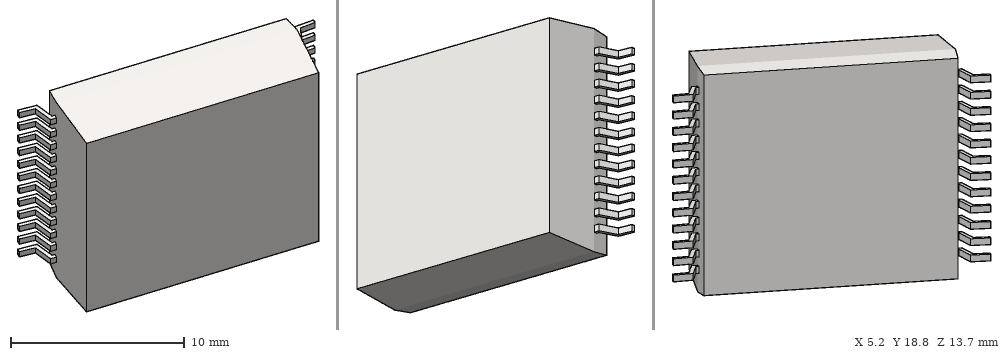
import cadquery as cq

overall_x = 5.2
overall_y = 18.75
parting_width = 15.25
parting_height = 13.7
seat_standoff = 0.3
parting_depth = 1.54
seat_inset_y = 0.11
seat_inset_z = 0.15
back_inset = 0.26

tip_x = -overall_x / 2
seat_x = tip_x + seat_standoff
parting_x = tip_x + parting_depth
back_x = overall_x / 2

lead_count = 12
lead_span = 10.88
lead_pitch = lead_span / (lead_count - 1)
lead_width = 0.41
lead_thickness = 0.25
foot_length = 1.18
foot_rise = 0.08
shoulder_length = 1.6
bend_shift = 0.2
lead_embed = 0.38


def tapered_half(end_x, inset_y, inset_z):
    """Frustum from the parting plane to a smaller rectangle at end_x."""
    return (
        cq.Workplane("YZ", origin=(parting_x, 0, 0))
        .rect(parting_width, parting_height)
        .workplane(offset=end_x - parting_x)
        .rect(parting_width - 2 * inset_y, parting_height - 2 * inset_z)
        .loft(ruled=True)
    )


def make_lead(z):
    """One lead on the +Y side, centred at height z."""
    tip_y = overall_y / 2
    heel_x = tip_x + foot_rise
    heel_y = tip_y - foot_length
    shoulder_y = tip_y - shoulder_length
    root_y = parting_width / 2 - lead_embed
    inner_shank_x = parting_x - lead_thickness
    profile = [
        (tip_x, tip_y),
        (heel_x, heel_y),
        (inner_shank_x, shoulder_y),
        (inner_shank_x, root_y),
        (parting_x, root_y),
        (parting_x, shoulder_y + bend_shift),
        (heel_x + lead_thickness, heel_y + bend_shift),
        (tip_x + lead_thickness, tip_y),
    ]
    return (
        cq.Workplane("XY", origin=(0, 0, z - lead_width / 2))
        .polyline(profile)
        .close()
        .extrude(lead_width)
    )


mounting_half = tapered_half(seat_x, seat_inset_y, seat_inset_z)
back_half = tapered_half(back_x, back_inset, back_inset)
result = mounting_half.union(back_half)

for index in range(lead_count):
    lead_z = (index - (lead_count - 1) / 2) * lead_pitch
    lead = make_lead(lead_z)
    result = result.union(lead).union(lead.mirror("XZ"))